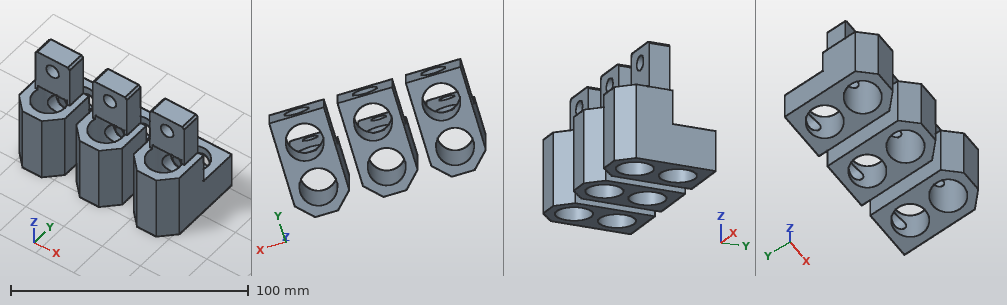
import cadquery as cq

CLAMP_COUNT = 3
TOTAL_LENGTH = 84.0
CLAMP_WIDTH = 24.0
CLAMP_PITCH = (TOTAL_LENGTH - CLAMP_WIDTH) / (CLAMP_COUNT - 1)

BLOCK_DEPTH = 44.0
STEP_DEPTH = 20.0
STEP_HEIGHT = 18.0
BLOCK_HEIGHT = 33.0
FRONT_CORNER_CHAMFER = 7.0

LUG_WIDTH = 18.0
LUG_DEPTH = 9.6
LUG_CORNER_CHAMFER = 1.0
LUG_TOP = 54.8
LUG_HOLE_DIAMETER = 6.55
LUG_HOLE_DROP = 7.0

BORE_DIAMETER = 16.05
BORE_INSET = CLAMP_WIDTH / 2
FRONT_BORE_RELIEF = 2.0
SCREW_HOLE_DIAMETER = 10.6
FRONT_SCREW_HEIGHT = 23.85
REAR_SCREW_HEIGHT = STEP_HEIGHT / 2

CENTER_X = CLAMP_WIDTH / 2
STEP_FACE_Y = BLOCK_DEPTH - STEP_DEPTH
REAR_BORE_Y = BLOCK_DEPTH - BORE_INSET


def make_block():
    """Stepped block, low at the rear, with chamfered front corners."""
    low_block = cq.Workplane("XY").box(CLAMP_WIDTH, BLOCK_DEPTH, STEP_HEIGHT, centered=False)
    tall_block = cq.Workplane("XY").box(CLAMP_WIDTH, STEP_FACE_Y, BLOCK_HEIGHT, centered=False)
    return low_block.union(tall_block).clean().edges("|Z and <Y").chamfer(FRONT_CORNER_CHAMFER)


def make_lug():
    """Upright lug, flush with the step face, with chamfered top corners."""
    return (
        cq.Workplane("XY", origin=(CENTER_X, STEP_FACE_Y - LUG_DEPTH / 2, BLOCK_HEIGHT))
        .rect(LUG_WIDTH, LUG_DEPTH)
        .extrude(LUG_TOP - BLOCK_HEIGHT)
        .edges("|Y and >Z")
        .chamfer(LUG_CORNER_CHAMFER)
    )


def vertical_bore(center_y, height):
    """Cutter for a bore rising from the underside."""
    return cq.Workplane("XY", origin=(CENTER_X, center_y, 0)).circle(BORE_DIAMETER / 2).extrude(height)


def rearward_hole(diameter, start_y, height):
    """Cutter for a hole on the centre plane, running from start_y out through the rear."""
    return (
        cq.Workplane("XZ", origin=(CENTER_X, start_y, height))
        .circle(diameter / 2)
        .extrude(start_y - BLOCK_DEPTH)
    )


def make_clamp():
    """One complete clamp body."""
    return (
        make_block()
        .union(make_lug())
        .cut(vertical_bore(BORE_INSET, BLOCK_HEIGHT + FRONT_BORE_RELIEF))
        .cut(vertical_bore(REAR_BORE_Y, STEP_HEIGHT))
        .cut(rearward_hole(LUG_HOLE_DIAMETER, 0, LUG_TOP - LUG_HOLE_DROP))
        .cut(rearward_hole(SCREW_HOLE_DIAMETER, BORE_INSET, FRONT_SCREW_HEIGHT))
        .cut(rearward_hole(SCREW_HOLE_DIAMETER, REAR_BORE_Y, REAR_SCREW_HEIGHT))
    )


clamps = [make_clamp().translate((index * CLAMP_PITCH, 0, 0)) for index in range(CLAMP_COUNT)]

result = cq.Compound.makeCompound([clamp.val() for clamp in clamps])